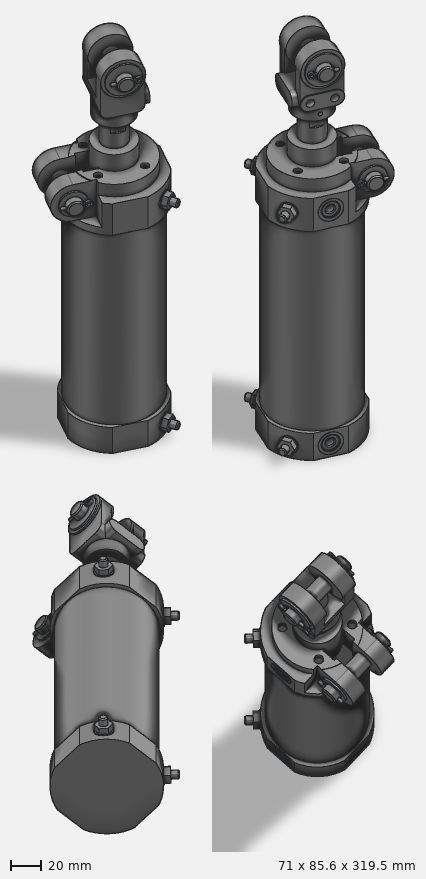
import cadquery as cq
import math


TOTAL_HEIGHT = 319.5

TUBE_DIAMETER = 69.0
CAP_WIDTH = 70.5
CAP_DEPTH = 71.0
CAP_ROUND_DIAMETER = 74.8
END_CAP_TOP = 22.0
HEAD_BOTTOM = 185.5
HEAD_TOP = 212.5
FLANGE_DIAMETER = 60.0
FLANGE_TOP = 223.0
GLAND_DIAMETER = 33.0
GLAND_TOP = 237.0

SCREW_HOLE_COUNT = 4
FIRST_SCREW_HOLE_ANGLE = 45
SCREW_HOLE_DIAMETER = 6.0
SCREW_CIRCLE_DIAMETER = 46.0
SCREW_HOLE_DEPTH = 6.5

PORT_LEVELS = [11.0, 200.0]
SPOTFACE_DIAMETER = 18.0
SPOTFACE_DEPTH = 0.3
PORT_DIAMETER = 13.5
PORT_STEP_DEPTH = 0.5
PORT_BORE_DIAMETER = 12.0
PORT_DEPTH = 1.3
PASSAGE_DIAMETER = 6.0
PASSAGE_DEPTH = 8.0
PASSAGE_CHAMFER = 0.8
DRILL_POINT_HEIGHT = 1.5
VALVE_ANGLES = [45, 135]
VALVE_COLLAR_DIAMETER = 13.5
VALVE_COLLAR_END = 37.7
VALVE_NUT_FLATS = 11.0
VALVE_NUT_END = 42.2
VALVE_STEM_DIAMETER = 6.0
VALVE_STEM_CHAMFER = 0.8
VALVE_STEM_END = 48.0
VALVE_ROOT = 32.0

PIN_DIAMETER = 12.0
PIN_LENGTH = 55.0
PIN_CHAMFER = 1.0
FORK_GAP = 15.5
FORK_WIDTH = 40.3
PAD_WIDTH = 43.0

LUG_RADIUS = 15.3
LUG_Y = -34.8
LUG_Z = 207.0
LUG_BOTTOM = LUG_Z - LUG_RADIUS
LUG_PAD_DIAMETER = 20.0
HEAD_FACE_Y = -18.5
RECESS_WIDTH = 19.8
RECESS_BACK_Y = -14.0
RECESS_FRONT_Y = -24.3
SLOT_FLOOR = 189.5

ROD_DIAMETER = 20.0
ROD_FLATS = 17.3
ROD_FLATS_BOTTOM = 250.0
ROD_THREAD_DIAMETER = 14.5

KNUCKLE_BOTTOM = 259.5
KNUCKLE_DIAMETER = 31.0
KNUCKLE_FLOOR = 284.5
KNUCKLE_ARM_GAP = 19.8
KNUCKLE_ARM_WIDTH = 37.7
KNUCKLE_PIN_Z = TOTAL_HEIGHT - KNUCKLE_DIAMETER / 2
KNUCKLE_PAD_DIAMETER = 26.0
SEAT_HEIGHT = 12.5
SEAT_Z = KNUCKLE_FLOOR - SEAT_HEIGHT / 2
SEAT_BOTTOM = SEAT_Z - SEAT_HEIGHT / 2
SIDE_SEAT_RAISE = 1.0
REAR_SEAT_RAISE = 4.5
SEAT_HOLE_DIAMETER = 6.0
SEAT_HOLE_SPACING = 17.3
SEAT_HOLE_DEPTH = 9.5
LOCK_HOLE_DIAMETER = 3.0
LOCK_HOLE_Z = 264.5

SPLIT_PIN_DIAMETER = 2.3
SPLIT_PIN_X = 24.0
SPLIT_PIN_TAIL = 10.0
SPLIT_PIN_EYE_Y = 9.5
SPLIT_PIN_EYE_DIAMETER = 4.8

LUG_PIVOT = (LUG_Y, LUG_Z)
KNUCKLE_PIVOT = (0, KNUCKLE_PIN_Z)


def upright(diameter, bottom, top):
    """Round bar along the cylinder axis."""
    return cq.Workplane("XY", origin=(0, 0, bottom)).circle(diameter / 2).extrude(top - bottom)


def block(x_size, y_range, z_range):
    """Rectangular block centred on X = 0."""
    y_min, y_max = y_range
    z_min, z_max = z_range
    base = cq.Workplane("XY", origin=(0, (y_min + y_max) / 2, z_min))
    return base.rect(x_size, y_max - y_min).extrude(z_max - z_min)


def cross_bar(pivot, diameter, length):
    """Round bar along X, centred on X = 0, through the (y, z) pivot."""
    y, z = pivot
    plane = cq.Workplane("YZ", origin=(0, y, z))
    return plane.circle(diameter / 2).extrude(length / 2, both=True)


def split_pin_wire(pivot, side):
    """Straight wire of a split pin, along Y through a clevis pin."""
    y, z = pivot
    plane = cq.Workplane("XZ", origin=(side * SPLIT_PIN_X, y + SPLIT_PIN_EYE_Y, z))
    return plane.circle(SPLIT_PIN_DIAMETER / 2).extrude(SPLIT_PIN_EYE_Y + SPLIT_PIN_TAIL)


def cap(bottom, top):
    """Round cap with four flats."""
    flats = cq.Workplane("XY", origin=(0, 0, bottom)).rect(CAP_WIDTH, CAP_DEPTH).extrude(top - bottom)
    return flats.intersect(upright(CAP_ROUND_DIAMETER, bottom, top))


def port(level):
    """Stepped port cut into the -X flat, ending in a drilled passage."""
    bore_radius = PORT_BORE_DIAMETER / 2
    passage_radius = PASSAGE_DIAMETER / 2
    return (
        cq.Workplane("XY", origin=(-CAP_WIDTH / 2, 0, level))
        .lineTo(0, SPOTFACE_DIAMETER / 2)
        .lineTo(SPOTFACE_DEPTH, SPOTFACE_DIAMETER / 2)
        .lineTo(SPOTFACE_DEPTH, PORT_DIAMETER / 2)
        .lineTo(PORT_STEP_DEPTH, PORT_DIAMETER / 2)
        .lineTo(PORT_STEP_DEPTH, bore_radius)
        .lineTo(PORT_DEPTH, bore_radius)
        .lineTo(PORT_DEPTH, passage_radius + PASSAGE_CHAMFER)
        .lineTo(PORT_DEPTH + PASSAGE_CHAMFER, passage_radius)
        .lineTo(PASSAGE_DEPTH, passage_radius)
        .lineTo(PASSAGE_DEPTH + DRILL_POINT_HEIGHT, 0)
        .close()
        .revolve(360, (0, 0, 0), (1, 0, 0))
    )


def valve(level, angle):
    """Round collar, hexagon nut and stem pointing outward at the given angle about Z."""
    root = cq.Workplane("YZ", origin=(VALVE_ROOT, 0, level))
    collar = root.circle(VALVE_COLLAR_DIAMETER / 2).extrude(VALVE_COLLAR_END - VALVE_ROOT)
    nut_corners = VALVE_NUT_FLATS / math.cos(math.pi / 6)
    nut = root.polygon(6, nut_corners).extrude(VALVE_NUT_END - VALVE_ROOT)
    stem = root.circle(VALVE_STEM_DIAMETER / 2).extrude(VALVE_STEM_END - VALVE_ROOT)
    stem = stem.faces(">X").chamfer(VALVE_STEM_CHAMFER)
    return collar.union(nut).union(stem).rotate((0, 0, 0), (0, 0, 1), angle)


def make_lugs():
    """Rounded block for both lugs, with a raised pad on each outer side."""
    lugs = cross_bar(LUG_PIVOT, 2 * LUG_RADIUS, FORK_WIDTH)
    lugs = lugs.union(block(FORK_WIDTH, (LUG_Y, HEAD_FACE_Y), (LUG_BOTTOM, LUG_Z + LUG_RADIUS)))
    return lugs.union(cross_bar(LUG_PIVOT, LUG_PAD_DIAMETER, PAD_WIDTH))


def make_head():
    """Head cap with flange, lugs and gland."""
    head = cap(HEAD_BOTTOM, HEAD_TOP).union(upright(FLANGE_DIAMETER, HEAD_TOP, FLANGE_TOP))
    head = head.cut(block(CAP_WIDTH, (-CAP_DEPTH, HEAD_FACE_Y), (LUG_BOTTOM, FLANGE_TOP)))
    flange_over_lugs = upright(FLANGE_DIAMETER, HEAD_TOP, FLANGE_TOP).intersect(
        block(FORK_WIDTH, (-FLANGE_DIAMETER, 0), (HEAD_TOP, FLANGE_TOP))
    )
    head = head.union(make_lugs()).union(flange_over_lugs)

    slot = block(FORK_GAP, (-CAP_DEPTH, RECESS_BACK_Y), (SLOT_FLOOR, FLANGE_TOP))
    recess = block(RECESS_WIDTH, (RECESS_FRONT_Y, RECESS_BACK_Y), (SLOT_FLOOR, FLANGE_TOP))
    head = head.cut(slot).cut(recess).union(upright(GLAND_DIAMETER, HEAD_BOTTOM, GLAND_TOP))

    screw_holes = (
        cq.Workplane("XY", origin=(0, 0, FLANGE_TOP - SCREW_HOLE_DEPTH))
        .polarArray(SCREW_CIRCLE_DIAMETER / 2, FIRST_SCREW_HOLE_ANGLE, 360, SCREW_HOLE_COUNT)
        .circle(SCREW_HOLE_DIAMETER / 2)
        .extrude(SCREW_HOLE_DEPTH)
    )
    return head.cut(screw_holes).cut(cross_bar(LUG_PIVOT, PIN_DIAMETER, PAD_WIDTH))


def make_rod():
    """Piston rod with two wrench flats below the knuckle and a threaded end inside it."""
    flats = block(ROD_FLATS, (-ROD_DIAMETER, ROD_DIAMETER), (ROD_FLATS_BOTTOM, KNUCKLE_BOTTOM))
    flattened = upright(ROD_DIAMETER, ROD_FLATS_BOTTOM, KNUCKLE_BOTTOM).intersect(flats)
    rod = upright(ROD_DIAMETER, GLAND_TOP, ROD_FLATS_BOTTOM).union(flattened)
    return rod.union(upright(ROD_THREAD_DIAMETER, KNUCKLE_BOTTOM, KNUCKLE_FLOOR))


def make_cylinder():
    """Barrel, both caps, valves and rod as one body."""
    cylinder = cap(0, END_CAP_TOP).union(upright(TUBE_DIAMETER, END_CAP_TOP, HEAD_BOTTOM))
    cylinder = cylinder.union(make_head()).union(make_rod())
    for level in PORT_LEVELS:
        cylinder = cylinder.cut(port(level))
        for angle in VALVE_ANGLES:
            cylinder = cylinder.union(valve(level, angle))
    return cylinder


def seat(face, thickness):
    """Flat bar with full-round ends, as long as the knuckle is deep."""
    return face.slot2D(KNUCKLE_DIAMETER, SEAT_HEIGHT).extrude(thickness)


def make_knuckle():
    """Fork on a round shank, with rounded seats on its -X and +Y sides."""
    half_depth = KNUCKLE_DIAMETER / 2
    half_width = KNUCKLE_ARM_WIDTH / 2
    round_radius = SEAT_HEIGHT / 2
    fork = (
        cq.Workplane("YZ")
        .moveTo(half_depth, KNUCKLE_PIN_Z)
        .lineTo(-half_depth, KNUCKLE_PIN_Z)
        .lineTo(-half_depth, SEAT_Z)
        .radiusArc((round_radius - half_depth, SEAT_BOTTOM), -round_radius)
        .lineTo(half_depth - round_radius, SEAT_BOTTOM)
        .radiusArc((half_depth, SEAT_Z), -round_radius)
        .close()
        .extrude(half_width, both=True)
    )
    depth_range = (-half_depth, half_depth)
    fork = fork.cut(block(KNUCKLE_ARM_GAP, depth_range, (KNUCKLE_FLOOR, KNUCKLE_PIN_Z)))

    for side in (-1, 1):
        inner_face = cq.Workplane("YZ", origin=(side * FORK_GAP / 2, 0, KNUCKLE_PIN_Z))
        arm_end = inner_face.circle(half_depth).extrude(side * (FORK_WIDTH - FORK_GAP) / 2)
        pad = inner_face.circle(KNUCKLE_PAD_DIAMETER / 2).extrude(side * (PAD_WIDTH - FORK_GAP) / 2)
        fork = fork.union(arm_end).union(pad)

    side_face = cq.Workplane("YZ", origin=(-half_width - SIDE_SEAT_RAISE, 0, SEAT_Z))
    rear_face = cq.Workplane("XZ", origin=(0, half_depth + REAR_SEAT_RAISE, SEAT_Z))
    knuckle = fork.union(upright(KNUCKLE_DIAMETER, KNUCKLE_BOTTOM, SEAT_Z))
    knuckle = knuckle.union(seat(side_face, SIDE_SEAT_RAISE))
    knuckle = knuckle.union(seat(rear_face, REAR_SEAT_RAISE + round_radius))

    hole_places = [(-SEAT_HOLE_SPACING / 2, 0), (SEAT_HOLE_SPACING / 2, 0)]
    seat_holes = side_face.pushPoints(hole_places).circle(SEAT_HOLE_DIAMETER / 2).extrude(SEAT_HOLE_DEPTH)
    lock_hole = (
        cq.Workplane("YZ", origin=(-half_depth, 0, LOCK_HOLE_Z))
        .circle(LOCK_HOLE_DIAMETER / 2)
        .extrude(half_depth)
    )
    thread = upright(ROD_THREAD_DIAMETER, KNUCKLE_BOTTOM, KNUCKLE_FLOOR)
    pin_bore = cross_bar(KNUCKLE_PIVOT, PIN_DIAMETER, PAD_WIDTH)
    return knuckle.cut(seat_holes).cut(lock_hole.cut(thread)).cut(thread).cut(pin_bore)


def make_clevis_pin(pivot):
    """Chamfered pin along X with a cross hole near each end."""
    pin = cross_bar(pivot, PIN_DIAMETER, PIN_LENGTH).faces("<X or >X").chamfer(PIN_CHAMFER)
    for side in (-1, 1):
        pin = pin.cut(split_pin_wire(pivot, side))
    return pin


def make_split_pin(pivot, side):
    """Straight wire along Y with a ring-shaped eye at its +Y end."""
    y, z = pivot
    eye_plane = cq.Workplane("YZ", origin=(side * SPLIT_PIN_X, y + SPLIT_PIN_EYE_Y, z))
    eye = eye_plane.circle(SPLIT_PIN_EYE_DIAMETER / 2).extrude(SPLIT_PIN_DIAMETER / 2, both=True)
    eye_hole = eye_plane.circle(SPLIT_PIN_DIAMETER / 2).extrude(SPLIT_PIN_DIAMETER, both=True)
    return split_pin_wire(pivot, side).union(eye).cut(eye_hole)


cylinder = make_cylinder()
knuckle = make_knuckle()

clevis_pins = []
split_pins = []
for pivot in (LUG_PIVOT, KNUCKLE_PIVOT):
    clevis_pins.append(make_clevis_pin(pivot).val())
    for side in (-1, 1):
        split_pins.append(make_split_pin(pivot, side).val())

result = cq.Compound.makeCompound([cylinder.val(), knuckle.val(), *clevis_pins, *split_pins])